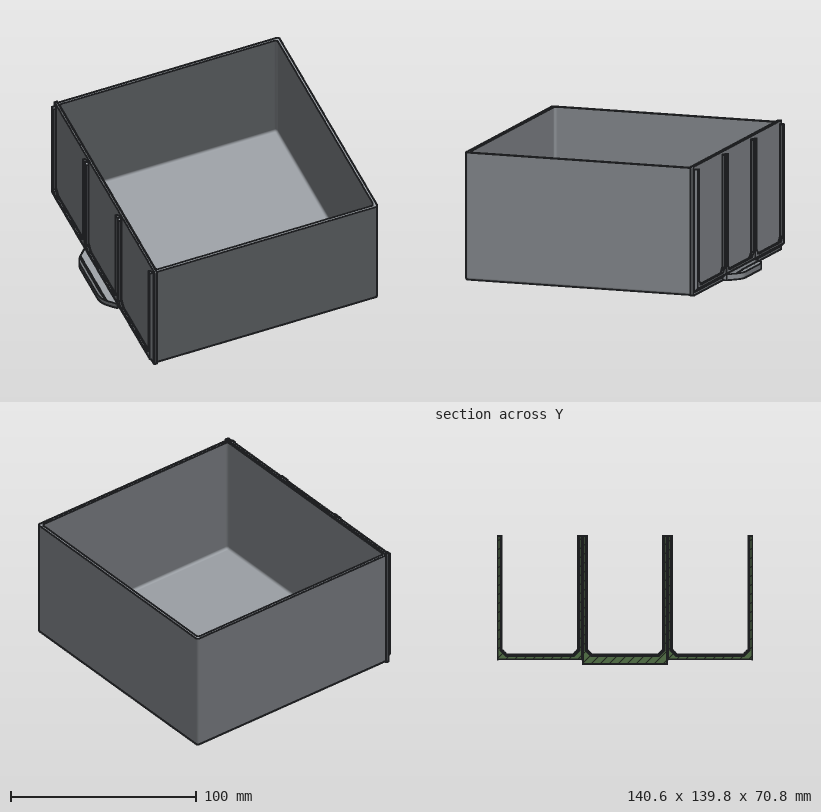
import cadquery as cq
import math

front_width = 140.62
total_length = 139.78
front_height = 70.78

plate_overhang = 0.8
plate_thickness = 1.5
plate_corner_radius = 1.0

wall = 1.7
floor_thickness = 0.7
front_wall_behind_plate = 0.4
body_outer_radius = 1.45
body_inner_radius = 1.6
floor_edge_radius = 1.5
body_width = front_width - 2 * plate_overhang
body_height = front_height - plate_overhang

holder_count = 3
holder_margin = 1.7
holder_gap = 0.4
holder_depth = 2.1
lip_width = 2.3
lip_thickness = 1.1
slot_depth = 0.5
slot_undercut = 1.3
window_bottom = 5.2
lip_corner_chamfer = 2.6
holder_pitch = (front_width - 2 * holder_margin + holder_gap) / holder_count
holder_width = holder_pitch - holder_gap
holder_top = front_height - holder_margin

tab_reach = 6.9
tab_thickness = 3.3
tab_corner_radius = 10.0
ridge_height = 1.35
ridge_rim = 0.01

holder_front = tab_reach
plate_front = holder_front + holder_depth
plate_back = plate_front + plate_thickness
cavity_front = plate_back + front_wall_behind_plate


def block(width, y_start, y_end, z_start, z_end):
    """Axis-aligned box centred on X = 0."""
    size = (width, y_end - y_start, z_end - z_start)
    box = cq.Workplane("XY").box(*size, centered=(True, False, False))
    return box.translate((0, y_start, z_start))


def make_body():
    """Solid outer form of the drawer, rounded at the rear corners and around the underside."""
    outer = block(body_width, plate_back, total_length, 0, body_height)
    outer = outer.edges("|Z and >Y").fillet(body_outer_radius)
    return outer.faces("<Z").edges("not <Y").fillet(body_outer_radius)


def make_cavity():
    """Inner space of the drawer, rounded at the upright corners and around the floor."""
    cavity_width = body_width - 2 * wall
    cavity_back = total_length - wall
    cavity = block(cavity_width, cavity_front, cavity_back, floor_thickness, front_height)
    cavity = cavity.edges("|Z").fillet(body_inner_radius)
    return cavity.faces("<Z").edges().fillet(floor_edge_radius)


def make_plate():
    """Front plate that stands proud of the body at the sides and the top."""
    plate = block(front_width, plate_front, plate_back, 0, front_height)
    return plate.edges("|Y").fillet(plate_corner_radius)


def opening_outline(x_center, y, growth):
    """Outline of a holder opening at depth y, grown sideways and downwards from the window size."""
    half_width = holder_width / 2 - lip_width + growth
    bottom = window_bottom - growth
    corner = lip_corner_chamfer + growth * (2 - math.sqrt(2))
    points = [
        (x_center - half_width, front_height),
        (x_center - half_width, bottom + corner),
        (x_center - half_width + corner, bottom),
        (x_center + half_width - corner, bottom),
        (x_center + half_width, bottom + corner),
        (x_center + half_width, front_height),
    ]
    return cq.Workplane("XZ", origin=(0, y, 0)).polyline(points).close()


def make_holder(x_center):
    """U-shaped label holder with a sloped underside and a card slot that narrows towards its lip."""
    side_profile = [
        (plate_front, holder_margin),
        (holder_front, holder_margin + holder_depth),
        (holder_front, holder_top),
        (plate_front, holder_top),
    ]
    frame = cq.Workplane("YZ").polyline(side_profile).close().extrude(holder_width / 2, both=True)
    frame = frame.translate((x_center, 0, 0))

    lip_back = holder_front + lip_thickness
    slope_back = plate_front - slot_depth
    window = opening_outline(x_center, holder_front, 0).extrude(-lip_thickness)
    slot_front = opening_outline(x_center, lip_back, 0).val()
    slot_rear = opening_outline(x_center, slope_back, slot_undercut)
    slope = cq.Workplane(cq.Solid.makeLoft([slot_front, slot_rear.val()], True))
    slot = slot_rear.extrude(-slot_depth)
    return frame.cut(window).cut(slope).cut(slot)


def make_tab():
    """Pull tab with slanted sides, rounded corners and a finger ridge along its tip."""
    base_half = holder_width / 2
    tip_half = base_half - tab_reach
    outline = [
        (-base_half, plate_front),
        (-base_half, holder_front),
        (-tip_half, 0),
        (tip_half, 0),
        (base_half, holder_front),
        (base_half, plate_front),
    ]
    ridge_top = tab_thickness + ridge_height
    tab = cq.Workplane("XY").polyline(outline).close().extrude(ridge_top)
    tab = tab.edges("|Z and <Y").fillet(tab_corner_radius)
    tip_rim = cq.selectors.BoxSelector(
        (-base_half, -ridge_height, tab_thickness),
        (base_half, holder_front - ridge_height, ridge_top + ridge_height),
    )
    tab = tab.faces(">Z").edges(tip_rim).chamfer(ridge_height - ridge_rim)
    above_tab = [
        (ridge_height, ridge_top),
        (2 * ridge_height, tab_thickness),
        (plate_front, tab_thickness),
        (plate_front, ridge_top),
    ]
    waste = cq.Workplane("YZ").polyline(above_tab).close().extrude(front_width, both=True)
    return tab.cut(waste)


drawer = make_body().union(make_plate()).union(make_tab())
for index in range(holder_count):
    holder_center = (index - (holder_count - 1) / 2) * holder_pitch
    drawer = drawer.union(make_holder(holder_center))

result = drawer.cut(make_cavity()).translate((0, -total_length / 2, 0))